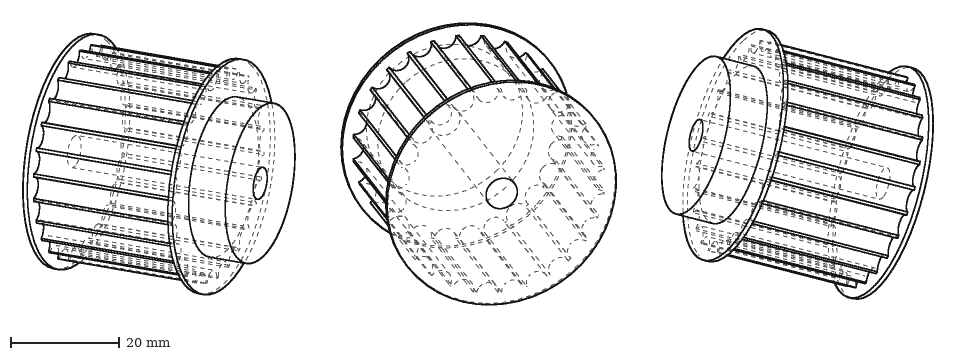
import math

import cadquery as cq

total_length = 38.0
flange_diameter = 44.0
hub_diameter = 30.0
bore_diameter = 6.0

pulley_length = 30.5
rim_width = 0.92
flange_root_width = 1.25

tooth_count = 26
belt_pitch = 5.0
pitch_line_offset = 0.57
land_width = 0.64
groove_depth = 2.1

tip_radius = tooth_count * belt_pitch / (2 * math.pi) - pitch_line_offset
tooth_angle = 360.0 / tooth_count
toothed_length = pulley_length - 2 * flange_root_width


def make_blank():
    """Revolve the half section: flange, tooth blank, flange and hub."""
    flange_radius = flange_diameter / 2
    hub_radius = hub_diameter / 2
    half_section = (
        cq.Workplane("XY")
        .moveTo(0, 0)
        .lineTo(0, flange_radius)
        .lineTo(rim_width, flange_radius)
        .lineTo(flange_root_width, tip_radius)
        .lineTo(pulley_length - flange_root_width, tip_radius)
        .lineTo(pulley_length - rim_width, flange_radius)
        .lineTo(pulley_length, flange_radius)
        .lineTo(pulley_length, hub_radius)
        .lineTo(total_length, hub_radius)
        .lineTo(total_length, 0)
        .close()
    )
    return half_section.revolve(360, (0, 0, 0), (1, 0, 0))


def make_groove_cutter():
    """Round-bottomed groove between two lands, centred on +Z."""
    land_half_angle = land_width / tip_radius / 2
    groove_half_angle = math.radians(tooth_angle) / 2 - land_half_angle
    edge_y = tip_radius * math.sin(groove_half_angle)
    edge_z = tip_radius * math.cos(groove_half_angle)
    return (
        cq.Workplane("YZ", origin=(flange_root_width, 0, 0))
        .moveTo(-edge_y, edge_z)
        .threePointArc((0, tip_radius - groove_depth), (edge_y, edge_z))
        .threePointArc((0, tip_radius), (-edge_y, edge_z))
        .close()
        .extrude(toothed_length)
    )


def cut_grooves(body):
    """Cut every groove, leaving one land centred on +Z."""
    cutter = make_groove_cutter()
    for index in range(tooth_count):
        angle = (index + 1 / 2) * tooth_angle
        body = body.cut(cutter.rotate((0, 0, 0), (1, 0, 0), angle))
    return body


def cut_bore(body):
    """Cut the through bore along the axis."""
    bore = cq.Workplane("YZ").circle(bore_diameter / 2).extrude(total_length)
    return body.cut(bore)


result = cut_bore(cut_grooves(make_blank()))